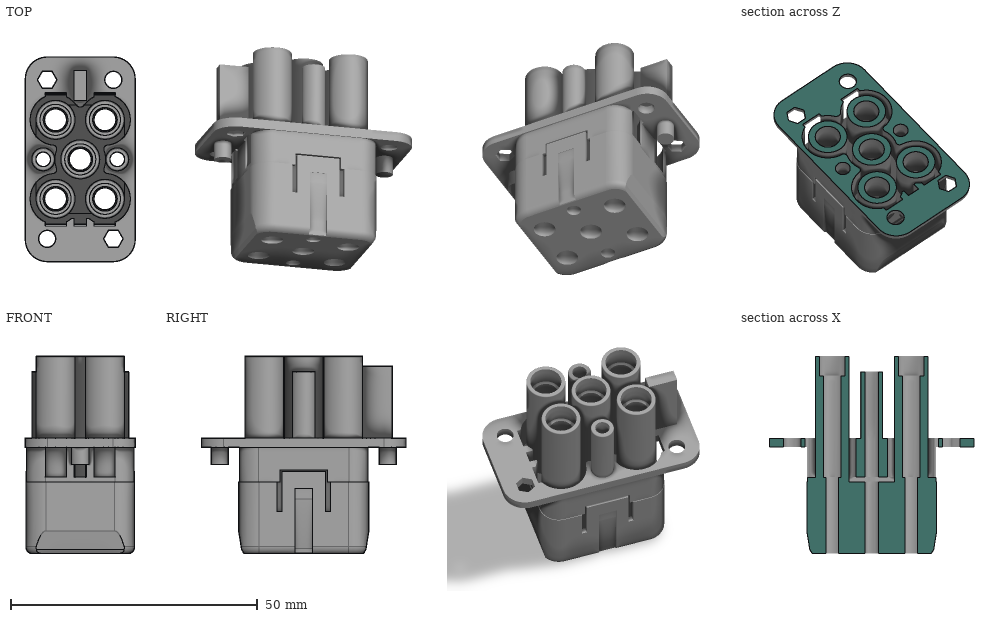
import cadquery as cq
import math

TOTAL_H = 40.0
FLANGE_TOP = 23.4
FLANGE_BOTTOM = 21.5
PART_LINE = 14.55
CAVITY_FLOOR = 15.5
SIGNAL_TOP = 36.85
KEY_TOP = 37.95
OVERLAP = 0.5

FLANGE_X, FLANGE_Y = 22.3, 41.5
FLANGE_CORNER_R = 4.5
MOUNT_X, MOUNT_Y = 6.7, 16.1
MOUNT_SIZE = 3.4
PEG_Y, PEG_D, PEG_LEN = 17.0, 3.5, 3.5
KEY_X = 2.5
KEY_Y_IN, KEY_Y_OUT = 11.95, 17.95

UPPER_X, UPPER_Y = 21.8, 26.1
LOWER_X, LOWER_Y = 22.06, 26.4
UPPER_CORNER_R, LOWER_CORNER_R = 3.9, 4.1
BOTTOM_R = 1.45
BOTTOM_TRIM = 0.06
BEVEL_TOP, BEVEL_BOTTOM, BEVEL_INSET = 4.6, 0.84, 0.6
BOTTOM_INSET = 1.1

POWER_X, POWER_Y = 5.0, 8.0
POWER_D = 7.9
MOUTH_D, MOUTH_DEPTH = 6.3, 4.0
BORE_D, LIP_HOLE_D = 5.0, 4.4
SIGNAL_X = 7.5
SIGNAL_D, SIGNAL_HOLE_D = 4.65, 2.9
RIM_R = 0.17

CLEARANCE_R = 5.15
POCKET_X, POCKET_Y, POCKET_DEPTH = 17.9, 22.0, 0.95
POCKET_CORNER_R = 3.0
TIP_R = 1.0
TIP_Y = 11.6
WAIST_R = 0.8
CAVITY_END_Y = 11.97
WINDOW_X_IN, WINDOW_X_OUT = 2.83, 7.06
WINDOW_Y = 13.47
CENTER_SLOT_X = 2.5

LATCH_W, LATCH_TOP, LATCH_GAP = 8.86, 16.6, 0.36
LATCH_DEPTH = 1.1
SLIT_W, SLIT_BOTTOM = 1.02, 8.55
CHANNEL_W, CHANNEL_TOP, RAMP_TOP, RAMP_BOTTOM = 3.64, 13.2, 11.05, 1.0
CHANNEL_DEPTH_TOP, CHANNEL_DEPTH_BOTTOM = 0.1, 0.8

POWER_POINTS = [(x, y) for x in (-POWER_X, POWER_X) for y in (-POWER_Y, POWER_Y)] + [(0, 0)]
SIGNAL_POINTS = [(-SIGNAL_X, 0), (SIGNAL_X, 0)]


def block(x0, x1, y0, y1, z0, z1):
    return cq.Workplane("XY").box(x1 - x0, y1 - y0, z1 - z0, centered=False).translate((x0, y0, z0))


def rounded_block(size_x, size_y, radius, z0, z1):
    half_x, half_y = size_x / 2, size_y / 2
    return block(-half_x, half_x, -half_y, half_y, z0, z1).edges("|Z").fillet(radius)


def cylinders(points, diameter, z0, z1):
    return cq.Workplane("XY", origin=(0, 0, z0)).pushPoints(points).circle(diameter / 2).extrude(z1 - z0)


def lower_housing():
    body = rounded_block(LOWER_X, LOWER_Y, LOWER_CORNER_R, -BOTTOM_TRIM, PART_LINE)
    body = body.faces("<Z").edges().fillet(BOTTOM_R)
    body = body.cut(block(-LOWER_X, LOWER_X, -LOWER_Y, LOWER_Y, -BOTTOM_TRIM, 0))
    half_y = LOWER_Y / 2
    bevel = (
        cq.Workplane("YZ")
        .moveTo(half_y, BEVEL_TOP)
        .lineTo(half_y - BEVEL_INSET, BEVEL_BOTTOM)
        .lineTo(half_y - BOTTOM_INSET, 0)
        .lineTo(LOWER_Y, 0)
        .lineTo(LOWER_Y, BEVEL_TOP)
        .close()
        .extrude(LOWER_X / 2, both=True)
    )
    return body.cut(bevel).cut(bevel.mirror("XZ"))


def flange():
    plate = rounded_block(FLANGE_X, FLANGE_Y, FLANGE_CORNER_R, FLANGE_BOTTOM, FLANGE_TOP)
    pegs = cylinders([(0, -PEG_Y), (0, PEG_Y)], PEG_D, FLANGE_BOTTOM - PEG_LEN, FLANGE_TOP)
    key = block(-KEY_X / 2, KEY_X / 2, KEY_Y_IN, KEY_Y_OUT, FLANGE_BOTTOM, KEY_TOP)
    return plate.union(pegs).union(key)


def mount_holes():
    z0, z1 = FLANGE_BOTTOM - OVERLAP, FLANGE_TOP + OVERLAP
    round_holes = cylinders([(-MOUNT_X, -MOUNT_Y), (MOUNT_X, MOUNT_Y)], MOUNT_SIZE, z0, z1)
    hex_holes = (
        cq.Workplane("XY", origin=(0, 0, z0))
        .pushPoints([(-MOUNT_X, MOUNT_Y), (MOUNT_X, -MOUNT_Y)])
        .polygon(6, MOUNT_SIZE / math.cos(math.radians(30)))
        .extrude(z1 - z0)
    )
    return round_holes.union(hex_holes)


def cavity():
    z0, z1 = CAVITY_FLOOR, FLANGE_TOP + OVERLAP
    space = cq.Workplane("XY")
    for point in POWER_POINTS:
        space = space.union(cylinders([point], 2 * CLEARANCE_R, z0, z1))
    waist = cq.selectors.BoxSelector((-POWER_X, -POWER_Y / 2, z0), (POWER_X, POWER_Y / 2, z1))
    tip_tangent_y = TIP_Y - TIP_R * (TIP_Y - POWER_Y) / (CLEARANCE_R + TIP_R)
    middle = block(-POWER_X / 2, POWER_X / 2, -CAVITY_END_Y, tip_tangent_y, z0, z1)
    space = space.union(middle).cut(cylinders([(0, TIP_Y)], 2 * TIP_R, z0, z1))
    space = space.edges("|Z").edges(waist).fillet(WAIST_R)
    for x in (-1, 1):
        x0, x1 = sorted((x * WINDOW_X_IN, x * WINDOW_X_OUT))
        for y0, y1 in ((-WINDOW_Y, -POWER_Y), (POWER_Y, WINDOW_Y)):
            space = space.union(block(x0, x1, y0, y1, z0, z1))
    half_slot = CENTER_SLOT_X / 2
    space = space.union(block(-half_slot, half_slot, -WINDOW_Y, 0, z0, z1))
    pocket = rounded_block(POCKET_X, POCKET_Y, POCKET_CORNER_R, CAVITY_FLOOR - POCKET_DEPTH, CAVITY_FLOOR)
    return space.union(pocket)


def tubes(points, diameter, z0, z1):
    return cylinders(points, diameter, z0, z1).faces(">Z").edges().fillet(RIM_R)


def latch_recess():
    """Gap around the latch tongue, the slits beside it and the ramped channel, on the -X side."""
    outer = -LOWER_X / 2
    inner = outer + LATCH_DEPTH
    half_w = LATCH_W / 2
    gap = block(outer, inner, -half_w - LATCH_GAP, half_w + LATCH_GAP, PART_LINE, LATCH_TOP + LATCH_GAP)
    tongue = block(outer, inner, -half_w, half_w, PART_LINE, LATCH_TOP)
    slits = block(outer, inner, -half_w - SLIT_W, half_w + SLIT_W, SLIT_BOTTOM, PART_LINE)
    slits = slits.cut(block(outer, inner, -half_w, half_w, SLIT_BOTTOM, PART_LINE))
    deep = outer + CHANNEL_DEPTH_BOTTOM
    shallow = outer + CHANNEL_DEPTH_TOP
    channel = (
        cq.Workplane("XZ")
        .polyline([
            (outer, 0), (deep, 0), (deep, RAMP_BOTTOM), (shallow, RAMP_TOP),
            (shallow, CHANNEL_TOP), (outer, CHANNEL_TOP),
        ])
        .close()
        .extrude(CHANNEL_W / 2, both=True)
    )
    return tongue, gap.cut(tongue).union(slits).union(channel)


housing = lower_housing()
housing = housing.union(rounded_block(UPPER_X, UPPER_Y, UPPER_CORNER_R, PART_LINE, FLANGE_BOTTOM))
housing = housing.union(flange()).cut(cavity()).cut(mount_holes())

tongue, recess = latch_recess()
housing = housing.union(tongue).cut(recess)
housing = housing.union(tongue.mirror("YZ")).cut(recess.mirror("YZ"))

housing = housing.union(tubes(POWER_POINTS, POWER_D, PART_LINE - OVERLAP, TOTAL_H))
housing = housing.union(tubes(SIGNAL_POINTS, SIGNAL_D, FLANGE_BOTTOM, SIGNAL_TOP))
housing = housing.cut(cylinders(POWER_POINTS, LIP_HOLE_D, 0, TOTAL_H))
housing = housing.cut(cylinders(POWER_POINTS, BORE_D, CAVITY_FLOOR, TOTAL_H))
housing = housing.cut(cylinders(POWER_POINTS, MOUTH_D, TOTAL_H - MOUTH_DEPTH, TOTAL_H))
housing = housing.cut(cylinders(SIGNAL_POINTS, SIGNAL_HOLE_D, 0, SIGNAL_TOP))

result = housing